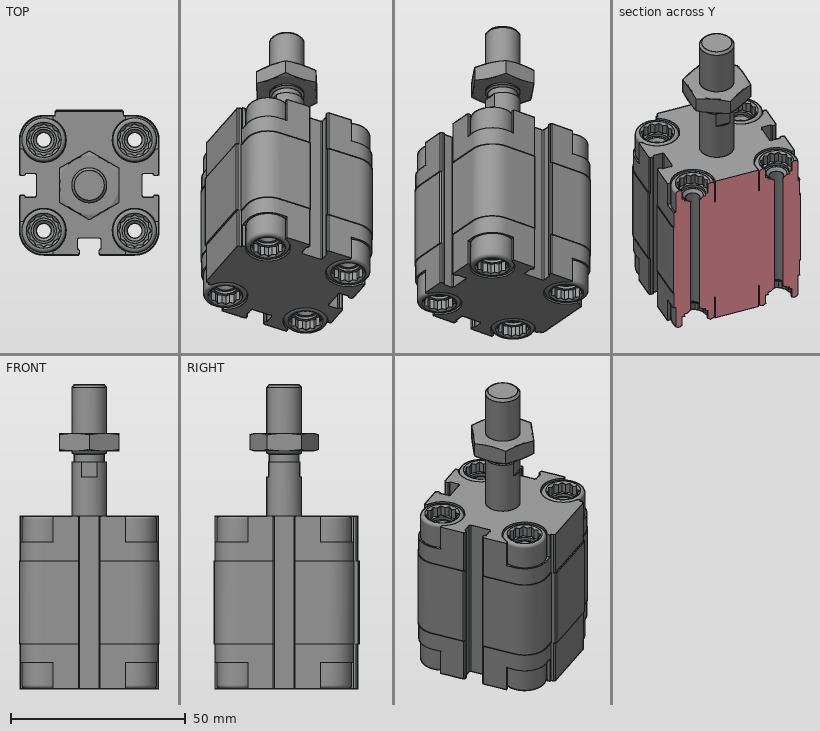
import cadquery as cq
import math

total_height = 87.0
housing_height = 49.4
cap_height = 12.9

tube_half_width = 20.0
cap_inset = 0.22
cap_pad_inset = 0.4
screw_pitch = 26.0
screw_offset = screw_pitch / 2
pad_half_width = 9.8
pad_height = 1.5
pad_chamfer = 0.4

slot_mouth_width = 5.6
slot_width = 6.7
slot_floor = 15.1
slot_lip_start = 18.3
slot_bevel = 0.35

pocket_depth = 7.5
pocket_diameter = 12.9
pocket_wall_offset = 2.6
head_diameter = 12.5
head_fillet = 1.0
socket_rim_diameter = 10.0
socket_across_flats = 8.0
socket_lead_in_depth = 0.7
socket_depth = 3.4
recess_diameter = 7.2
recess_depth = 0.9
cone_diameter = 6.0
screw_hole_diameter = 4.2

rod_diameter = 10.0
rod_top_chamfer = 0.8
rod_shoulder = 64.9
neck_diameter = 8.6
thread_run_out = 0.4
thread_start = 67.5
flat_across = 9.0
flat_length = 4.3

nut_across_flats = 17.05
nut_height = 5.05
nut_top = 73.1
nut_chamfer_drop = 0.4
nut_face_diameter = 17.0

screw_positions = [(sx * screw_offset, sy * screw_offset) for sx in (-1, 1) for sy in (-1, 1)]
rod_bottom = housing_height - cap_height
cut_margin = 0.9


def mirrored_end_to_end(shape):
    """Mirror a shape about the mid-height plane of the housing."""
    return shape.mirror("XY", (0, 0, housing_height / 2))


def slot_cutter(face, height):
    """T-slot cutter for a -Y side at distance `face`, with beveled lips and floor corners."""
    mouth = slot_mouth_width / 2
    wide = slot_width / 2
    bevel = slot_bevel
    right_side = [
        (wide - bevel, -slot_floor),
        (wide, -slot_floor - bevel),
        (wide, -slot_lip_start),
        (mouth + bevel, -slot_lip_start),
        (mouth, -slot_lip_start - bevel),
        (mouth, -face + bevel),
        (mouth + bevel, -face),
        (mouth + bevel, -face - cut_margin),
    ]
    left_side = [(-x, y) for x, y in reversed(right_side)]
    return cq.Workplane("XY").polyline(right_side + left_side).close().extrude(height)


def band(inset, pad_inset, bottom, height):
    """One band of the housing: rounded square, pad on the +Y side, T-slots in the other sides."""
    half = tube_half_width - inset
    corner_radius = half - screw_offset
    body = cq.Workplane("XY").rect(2 * half, 2 * half).extrude(height)
    body = body.edges("|Z").fillet(corner_radius)
    pad_top = tube_half_width + pad_height - pad_inset
    pad = (
        cq.Workplane("XY")
        .rect(2 * pad_half_width, pad_top, centered=(True, False))
        .extrude(height)
        .edges("|Z and >Y")
        .chamfer(pad_chamfer)
    )
    body = body.union(pad)
    slot = slot_cutter(half, height)
    for angle in (-90, 0, 90):
        body = body.cut(slot.rotate((0, 0, 0), (0, 0, 1), angle))
    return body.translate((0, 0, bottom))


def corner_pocket(position):
    """Pocket around one upper screw head, open to both outer sides of its corner."""
    x, y = position
    bottom = housing_height - pocket_depth
    height = pocket_depth + cut_margin
    bore = cq.Workplane("XY").center(x, y).circle(pocket_diameter / 2).extrude(height)
    wall = screw_offset - pocket_wall_offset
    side = tube_half_width - wall + cut_margin
    middle = wall + side / 2
    corner = (
        cq.Workplane("XY")
        .center(math.copysign(middle, x), math.copysign(middle, y))
        .rect(side, side)
        .extrude(height)
    )
    return bore.union(corner).translate((0, 0, bottom))


def screw_socket():
    """Twelve-point socket with a conical lead-in, a round recess and a cone down to the hole."""
    rim = socket_rim_diameter / 2
    points_diameter = socket_across_flats / math.cos(math.pi / 6)
    hexagon = cq.Workplane("XY").polygon(6, points_diameter).extrude(-socket_depth)
    star = hexagon.union(hexagon.rotate((0, 0, 0), (0, 0, 1), 30))
    lead_in_bottom = socket_across_flats / 2
    recess_floor = socket_depth + recess_depth
    hole = screw_hole_diameter / 2
    cone_depth = cone_diameter / 2 - hole
    profile = [
        (0, 0),
        (rim, 0),
        (lead_in_bottom, -socket_lead_in_depth),
        (recess_diameter / 2, -socket_lead_in_depth),
        (recess_diameter / 2, -recess_floor),
        (cone_diameter / 2, -recess_floor),
        (hole, -recess_floor - cone_depth),
        (0, -recess_floor - cone_depth),
    ]
    turned = cq.Workplane("XZ").polyline(profile).close().revolve(360, (0, 0), (0, 1))
    return star.union(turned)


def screw_head():
    """Solid upper screw head on the Z axis."""
    return (
        cq.Workplane("XY", origin=(0, 0, housing_height - pocket_depth))
        .circle(head_diameter / 2)
        .extrude(pocket_depth)
        .faces(">Z")
        .edges()
        .fillet(head_fillet)
    )


def make_housing():
    lower_cap = band(cap_inset, cap_pad_inset, 0, cap_height)
    tube = band(0, 0, cap_height, housing_height - 2 * cap_height)
    upper_cap = mirrored_end_to_end(lower_cap)
    body = tube.union(lower_cap).union(upper_cap, clean=True)

    head = screw_head()
    socket = screw_socket().translate((0, 0, housing_height))
    for position in screw_positions:
        x, y = position
        pocket = corner_pocket(position)
        placed_head = head.translate((x, y, 0))
        placed_socket = socket.translate((x, y, 0))
        body = body.cut(pocket).cut(mirrored_end_to_end(pocket))
        body = body.union(placed_head).union(mirrored_end_to_end(placed_head))
        body = body.cut(placed_socket).cut(mirrored_end_to_end(placed_socket))

    screw_holes = (
        cq.Workplane("XY").pushPoints(screw_positions).circle(screw_hole_diameter / 2).extrude(housing_height)
    )
    rod_hole = cq.Workplane("XY", origin=(0, 0, rod_bottom)).circle(rod_diameter / 2).extrude(cap_height)
    return body.cut(screw_holes).cut(rod_hole)


def make_rod():
    rod = rod_diameter / 2
    neck = neck_diameter / 2
    profile = [
        (0, rod_bottom),
        (rod, rod_bottom),
        (rod, rod_shoulder),
        (neck, rod_shoulder),
        (neck, thread_start - thread_run_out),
        (rod, thread_start),
        (rod, total_height - rod_top_chamfer),
        (neck, total_height),
        (0, total_height),
    ]
    body = cq.Workplane("XZ").polyline(profile).close().revolve(360, (0, 0), (0, 1))
    flats = (
        cq.Workplane("XY", origin=(0, 0, rod_shoulder - flat_length))
        .rect(2 * rod_diameter, 2 * rod_diameter)
        .rect(2 * rod_diameter, flat_across)
        .extrude(flat_length)
    )
    return body.cut(flats)


def make_nut():
    corner_diameter = nut_across_flats / math.cos(math.pi / 6)
    nut_bottom = nut_top - nut_height
    hexagon = (
        cq.Workplane("XY", origin=(0, 0, nut_bottom))
        .polygon(6, corner_diameter)
        .extrude(nut_height)
        .rotate((0, 0, 0), (0, 0, 1), 30)
    )
    face = nut_face_diameter / 2
    corner = corner_diameter / 2
    profile = [
        (0, nut_bottom),
        (face, nut_bottom),
        (corner, nut_bottom + nut_chamfer_drop),
        (corner, nut_top - nut_chamfer_drop),
        (face, nut_top),
        (0, nut_top),
    ]
    chamfered = cq.Workplane("XZ").polyline(profile).close().revolve(360, (0, 0), (0, 1))
    bore = cq.Workplane("XY", origin=(0, 0, nut_bottom)).circle(rod_diameter / 2).extrude(nut_height)
    return hexagon.intersect(chamfered).cut(bore)


housing = make_housing()
rod = make_rod()
nut = make_nut()

result = cq.Compound.makeCompound([housing.val(), rod.val(), nut.val()])